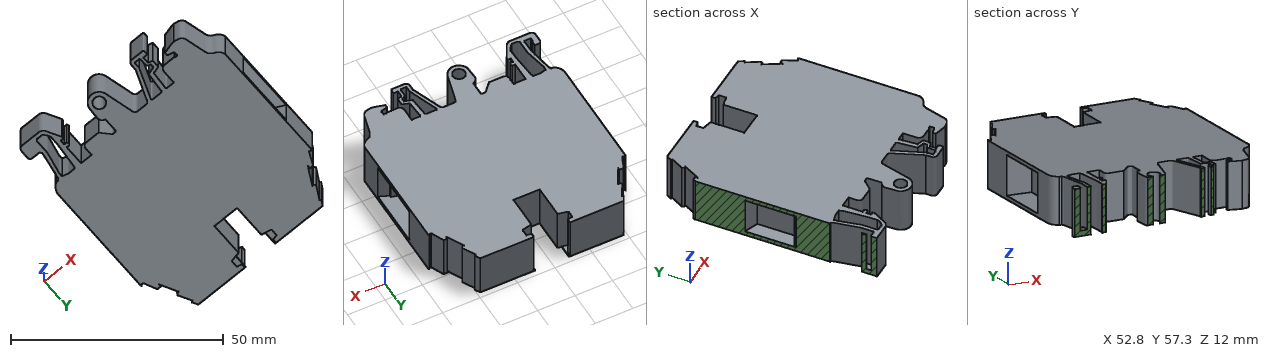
import cadquery as cq

WIDTH = 52.8
HALF_WIDTH = WIDTH / 2
LENGTH = 57.3
THICKNESS = 12.0

SLOT_HALF_WIDTH = 3.5
SLOT_FLOOR_Y = 44.7
MOUTH_HALF_WIDTH = 4.5
MOUTH_BASE_Y = 53.75
RECESS_EDGE_X = 4.8
RECESS_X = 6.15
RECESS_TOP_Y = 56.0
RECESS_BOTTOM_Y = 54.1
SNAP_SLANT = 0.25
SKIN = 0.25

STEP_Y = 48.15
STEP_OUTER_X = 24.0
STEP_INNER_X = 23.0
FLANK_FOOT_X = 22.6
NOTCH_DEPTH = 0.7

POCKET_TOP_Y = 35.55
POCKET_BOTTOM_Y = 19.95
POCKET_FLOOR_TOP_Y = 32.7
POCKET_FLOOR_BOTTOM_Y = 22.9
POCKET_DEPTH = 5.15
LEDGE_DEPTH = 2.45
LEDGE_OUTER_Y = 21.4
LEDGE_INNER_Y = 21.85
POCKET_MARGIN = 1.0
POCKET_FLOOR_MARGIN = 1.85

LUG_X = -4.1
LUG_Y = 3.55
LUG_RADIUS = 2.75
LUG_HOLE_DIAMETER = 3.2

LEFT_ROOF_Y = 12.4
RIGHT_ROOF_Y = 11.0

PAD_LEFT_X = -14.0
PAD_Y = 9.15
LUG_GAP_LEFT_X = -6.9
LUG_GAP_RIGHT_X = -5.75
LUG_GAP_Y = 11.6

RIGHT_PAD_LEFT_X = 12.55
RIGHT_PAD_Y = 6.2
CLAW_STEP_X = 16.8
CLAW_ROOT_X = 17.55
CLAW_TIP_X = 15.75

STEM_LEFT_X = -22.6
STEM_RIGHT_X = -17.2
STEM_ROOT = (-23.8, 11.7)
TAB_X = -16.4
TAB_TOP_Y = 7.15
TAB_BOTTOM_Y = 6.2
LOWER_TAB_Y = 5.0
HOOK_TOP_Y = 4.0
HOOK_LEFT_X = -25.95
HOOK_RECESS_LEFT_X = -24.35
HOOK_LIP_X = -24.2
HOOK_LIP_Y = 2.7
HOOK_RECESS_FLOOR_Y = 1.6
HOOK_WEB_THICKNESS = 1.5
HOOK_WEB_RISE = 0.6
HOOK_WEB_RUN = 0.35

ARCH_LEFT_X = 0.65
ARCH_RIGHT_X = 4.5
LEG_LEFT_X = 7.75
LEG_TOE_X = 12.3
LEG_SHIN_X = 11.1
LEG_GAP_LEFT_X = 10.15
LEG_ELBOW_Y = 5.6
LEG_BOTTOM_Y = 0.25

SMALL_RADIUS = 0.3
STEM_ROOT_RADIUS = 0.45
MEDIUM_RADIUS = 0.75
LARGE_RADIUS = 1.05
RIGHT_PAD_RADIUS = 1.25


def prism(points, bottom=0.0, top=THICKNESS):
    """Extrude a closed XY polygon from one height to another."""
    return cq.Workplane("XY").workplane(offset=bottom).polyline(points).close().extrude(top - bottom)


def both_sides(solid):
    """Join a solid with its mirror image across the YZ plane."""
    return solid.union(solid.mirror("YZ"))


def round_corners(solid, corners, radius):
    """Round the full-height edges that stand at the given XY corners."""
    for x, y in corners:
        solid = solid.edges(cq.selectors.NearestToPointSelector((x, y, THICKNESS / 2))).fillet(radius)
    return solid


def make_outline():
    """Full-thickness body, bounded counter-clockwise from the right shoulder."""
    shoulder = [
        (HALF_WIDTH, 44.8),
        (26.3, 45.15),
        (26.0, 44.9),
        (25.55, 44.8),
        (STEP_OUTER_X, STEP_Y),
        (FLANK_FOOT_X, STEP_Y),
        (20.6, 51.9),
        (21.05, 51.75),
        (21.4, 52.4),
        (19.55, 55.7),
        (19.95, 55.95),
        (19.15, LENGTH),
        (MOUTH_HALF_WIDTH, LENGTH),
        (MOUTH_HALF_WIDTH, MOUTH_BASE_Y),
        (SLOT_HALF_WIDTH, MOUTH_BASE_Y - SNAP_SLANT),
        (SLOT_HALF_WIDTH, SLOT_FLOOR_Y),
    ]
    mirrored_shoulder = [(-x, y) for x, y in reversed(shoulder)]
    profile = cq.Workplane("XY").polyline(shoulder + mirrored_shoulder)

    profile = (
        profile.lineTo(-HALF_WIDTH, 14.95)
        .threePointArc((-25.85, 13.25), (-24.75, 12.25))
        .lineTo(-24.05, 12.2)
        .lineTo(*STEM_ROOT)
        .lineTo(STEM_LEFT_X, 4.95)
        .lineTo(STEM_LEFT_X, HOOK_TOP_Y)
        .lineTo(HOOK_LEFT_X, HOOK_TOP_Y)
        .lineTo(HOOK_LEFT_X, 0)
        .lineTo(-19.65, 0)
        .threePointArc((-18.85, 0.3), (-18.2, 1.05))
        .lineTo(TAB_X, 4.35)
        .lineTo(TAB_X, LOWER_TAB_Y)
        .lineTo(STEM_RIGHT_X, LOWER_TAB_Y)
        .lineTo(STEM_RIGHT_X, TAB_BOTTOM_Y)
        .lineTo(TAB_X, TAB_BOTTOM_Y)
        .lineTo(-16.15, 6.7)
        .lineTo(TAB_X, TAB_TOP_Y)
        .lineTo(STEM_RIGHT_X, TAB_TOP_Y)
        .lineTo(STEM_RIGHT_X, LEFT_ROOF_Y)
    )

    profile = (
        profile.lineTo(PAD_LEFT_X, LEFT_ROOF_Y)
        .lineTo(PAD_LEFT_X, PAD_Y)
        .lineTo(-9.1, PAD_Y)
        .lineTo(LUG_GAP_LEFT_X, LUG_GAP_Y)
        .lineTo(LUG_GAP_RIGHT_X, LUG_GAP_Y)
        .lineTo(LUG_GAP_RIGHT_X, 7.7)
        .threePointArc((-6.6, 7.15), (-7.0, 6.2))
        .lineTo(-6.8, 3.0)
        .threePointArc((LUG_X, LUG_Y - LUG_RADIUS), (-1.5, 2.85))
        .lineTo(ARCH_LEFT_X, RIGHT_ROOF_Y)
    )

    profile = (
        profile.lineTo(ARCH_RIGHT_X, RIGHT_ROOF_Y)
        .lineTo(LEG_LEFT_X, 2.75)
        .lineTo(LEG_LEFT_X, LEG_BOTTOM_Y)
        .lineTo(LEG_TOE_X, LEG_BOTTOM_Y)
        .lineTo(LEG_TOE_X, 1.6)
        .lineTo(LEG_SHIN_X, 1.6)
        .lineTo(LEG_SHIN_X, 3.3)
        .lineTo(LEG_TOE_X, 3.6)
        .lineTo(LEG_TOE_X, LEG_ELBOW_Y)
        .lineTo(10.5, 6.2)
        .lineTo(LEG_GAP_LEFT_X, RIGHT_ROOF_Y)
        .lineTo(RIGHT_PAD_LEFT_X, RIGHT_ROOF_Y)
    )

    profile = (
        profile.lineTo(RIGHT_PAD_LEFT_X, RIGHT_PAD_Y)
        .lineTo(CLAW_STEP_X, RIGHT_PAD_Y)
        .lineTo(CLAW_STEP_X, 6.35)
        .lineTo(CLAW_ROOT_X, 6.35)
        .lineTo(CLAW_ROOT_X, 5.2)
        .lineTo(CLAW_TIP_X, 4.8)
        .lineTo(CLAW_TIP_X, 3.95)
        .lineTo(18.4, 3.25)
        .lineTo(19.2, 3.15)
        .lineTo(20.2, 3.3)
        .threePointArc((21.15, 3.7), (21.65, 4.35))
        .lineTo(23.05, 9.5)
        .threePointArc((23.6, 10.8), (24.6, 11.45))
        .threePointArc((25.8, 12.25), (HALF_WIDTH, 13.35))
    )
    return profile.close().extrude(THICKNESS)


def round_outline(body):
    """Soften the outer corners of the pads and feet."""
    body = round_corners(body, [STEM_ROOT], STEM_ROOT_RADIUS)
    body = round_corners(body, [(HOOK_LEFT_X, HOOK_TOP_Y), (ARCH_RIGHT_X, RIGHT_ROOF_Y)], MEDIUM_RADIUS)
    large_corners = [
        (HOOK_LEFT_X, 0),
        (PAD_LEFT_X, PAD_Y),
        (ARCH_LEFT_X, RIGHT_ROOF_Y),
        (LEG_LEFT_X, LEG_BOTTOM_Y),
    ]
    body = round_corners(body, large_corners, LARGE_RADIUS)
    small_corners = [
        (LUG_GAP_LEFT_X, LUG_GAP_Y),
        (LUG_GAP_RIGHT_X, LUG_GAP_Y),
        (LEG_GAP_LEFT_X, RIGHT_ROOF_Y),
        (LEG_TOE_X, LEG_BOTTOM_Y),
        (LEG_TOE_X, LEG_ELBOW_Y),
    ]
    body = round_corners(body, small_corners, SMALL_RADIUS)
    return round_corners(body, [(RIGHT_PAD_LEFT_X, RIGHT_PAD_Y)], RIGHT_PAD_RADIUS)


def make_slot_recesses():
    """Snap recesses either side of the slot mouth, stopping at the thin web."""
    points = [
        (MOUTH_HALF_WIDTH, LENGTH),
        (RECESS_EDGE_X, LENGTH),
        (RECESS_EDGE_X, RECESS_TOP_Y + SNAP_SLANT),
        (RECESS_X, RECESS_TOP_Y),
        (RECESS_X, RECESS_BOTTOM_Y),
        (MOUTH_HALF_WIDTH, MOUTH_BASE_Y),
    ]
    return both_sides(prism(points, bottom=SKIN))


def make_shoulder_notches():
    """Triangular notches at the inner end of each shoulder step."""
    points = [
        (STEP_INNER_X, STEP_Y),
        (FLANK_FOOT_X, STEP_Y),
        (STEP_INNER_X, STEP_Y - NOTCH_DEPTH),
    ]
    return both_sides(prism(points, bottom=SKIN))


def make_wire_entries():
    """Tapered pockets with a small ledge on the -Y wall, one in each side."""
    floor_x = -HALF_WIDTH + POCKET_DEPTH
    ledge_x = -HALF_WIDTH + LEDGE_DEPTH
    plan = prism([
        (-HALF_WIDTH, POCKET_TOP_Y),
        (-HALF_WIDTH, POCKET_BOTTOM_Y),
        (ledge_x, LEDGE_OUTER_Y),
        (ledge_x, LEDGE_INNER_Y),
        (floor_x, POCKET_FLOOR_BOTTOM_Y),
        (floor_x, POCKET_FLOOR_TOP_Y),
    ])
    taper = (
        cq.Workplane("XZ")
        .polyline([
            (-HALF_WIDTH, POCKET_MARGIN),
            (floor_x, POCKET_FLOOR_MARGIN),
            (floor_x, THICKNESS - POCKET_FLOOR_MARGIN),
            (-HALF_WIDTH, THICKNESS - POCKET_MARGIN),
        ])
        .close()
        .extrude(-LENGTH)
    )
    return both_sides(plan.intersect(taper))


def make_left_window():
    """Through opening inside the hook foot."""
    return (
        cq.Workplane("XY")
        .moveTo(-22.75, 12.0)
        .lineTo(-22.75, 10.95)
        .lineTo(-21.55, 5.3)
        .lineTo(-21.55, 1.5)
        .threePointArc((-21.3, 1.15), (-20.85, 1.05))
        .lineTo(-19.6, 1.05)
        .threePointArc((-18.9, 1.7), (-18.4, 2.75))
        .lineTo(-18.4, 5.2)
        .lineTo(-18.95, 11.65)
        .lineTo(-19.2, LEFT_ROOF_Y)
        .lineTo(-21.1, 12.45)
        .close()
        .extrude(THICKNESS)
    )


def make_right_window():
    """Through opening inside the folded spring leg."""
    window = prism([
        (5.6, RIGHT_ROOF_Y),
        (8.9, RIGHT_ROOF_Y),
        (9.35, 5.6),
        (11.35, 5.0),
        (11.35, 4.05),
        (10.3, 3.65),
        (10.3, 1.25),
        (8.7, 1.25),
        (8.7, 2.85),
    ])
    corners = [(5.6, RIGHT_ROOF_Y), (8.9, RIGHT_ROOF_Y), (10.3, 3.65), (10.3, 1.25)]
    return round_corners(window, corners, SMALL_RADIUS)


def make_hook_recess():
    """Recess in the hook, open toward +Y and +Z."""
    points = [
        (STEM_LEFT_X, HOOK_RECESS_FLOOR_Y),
        (HOOK_RECESS_LEFT_X, HOOK_RECESS_FLOOR_Y),
        (HOOK_RECESS_LEFT_X, HOOK_LIP_Y),
        (HOOK_LIP_X, HOOK_LIP_Y),
        (HOOK_LIP_X, HOOK_TOP_Y),
        (STEM_LEFT_X, HOOK_TOP_Y),
    ]
    return prism(points, bottom=HOOK_WEB_THICKNESS)


def make_hook_web_gusset():
    """Small gusset joining the hook's floor web to the stem."""
    points = [
        (STEM_LEFT_X, HOOK_TOP_Y),
        (STEM_LEFT_X, HOOK_TOP_Y + HOOK_WEB_RISE),
        (STEM_LEFT_X - HOOK_WEB_RUN, HOOK_TOP_Y),
    ]
    return prism(points, top=HOOK_WEB_THICKNESS)


lug_hole = cq.Workplane("XY").center(LUG_X, LUG_Y).circle(LUG_HOLE_DIAMETER / 2).extrude(THICKNESS)

body = round_outline(make_outline())
body = body.cut(make_slot_recesses()).cut(make_shoulder_notches()).cut(make_wire_entries())
body = body.cut(make_left_window()).cut(make_right_window()).cut(lug_hole)
result = body.cut(make_hook_recess()).union(make_hook_web_gusset())